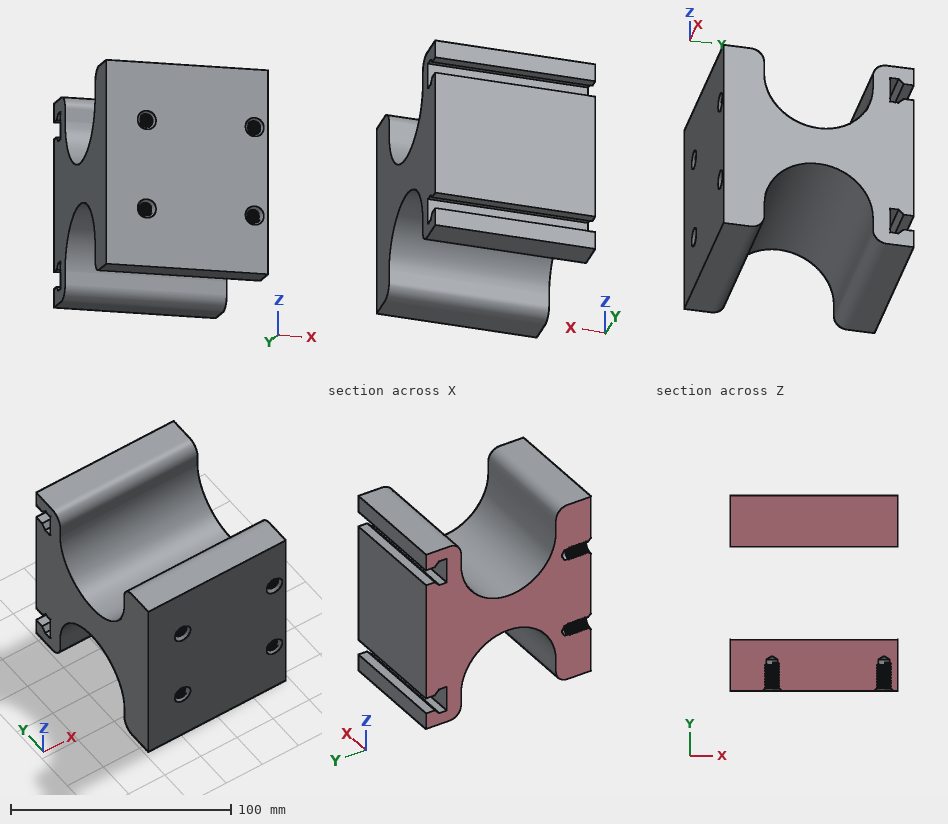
import cadquery as cq
import math

INCH = 25.4
length = 3.0 * INCH
width = 3.5 * INCH
height = 3.75 * INCH

channel_radius = 1.0 * INCH
channel_axis_depth = 0.5 * INCH
lip_radius = 0.25 * INCH

slot_inset = 0.5 * INCH
slot_mouth = 5 / 16 * INCH
slot_head = 0.5 * INCH
slot_depth = 7 / 16 * INCH
slot_neck_depth = 3 / 16 * INCH

thread_major = 6.35
thread_minor = 5.12
thread_pitch = INCH / 20
thread_root_flat = thread_pitch / 8
thread_half_angle = math.radians(30)
thread_overlap = 0.1
thread_start_depth = 0.5
thread_end_depth = 0.5 * INCH
bore_depth = 0.5625 * INCH
drill_tip_angle = math.radians(118)
countersink_diameter = 8.7
countersink_angle = math.radians(90)
hole_columns = (-length / 2 + 0.75 * INCH, length / 2 - 0.25 * INCH)
hole_row_spacing = 1.625 * INCH
upper_thread_turn = 45
lower_thread_turn = upper_thread_turn + 180
hole_rows = (
    (hole_row_spacing / 2, upper_thread_turn),
    (-hole_row_spacing / 2, lower_thread_turn),
)

TOP = 1
BOTTOM = -1


def channelled_block():
    """Block with a channel cut along X in its top and bottom faces."""
    block = cq.Workplane("XY").box(length, width, height)
    for side in (TOP, BOTTOM):
        face_z = side * height / 2
        axis_z = side * (height / 2 - channel_axis_depth)
        channel = (
            cq.Workplane("YZ")
            .moveTo(-channel_radius, face_z)
            .lineTo(-channel_radius, axis_z)
            .threePointArc((0, axis_z - side * channel_radius), (channel_radius, axis_z))
            .lineTo(channel_radius, face_z)
            .close()
            .extrude(length / 2, both=True)
        )
        block = block.cut(channel)
    return block


def round_channel_lips(body):
    """Round the four long edges where the channels meet the top and bottom faces."""
    selection_margin = 1.0
    inner_y = channel_radius + selection_margin
    outer_z = height / 2 + selection_margin
    lip_edges = cq.selectors.BoxSelector(
        (-length, -inner_y, -outer_z), (length, inner_y, outer_z)
    )
    return body.edges("|X").edges(">Z or <Z").edges(lip_edges).fillet(lip_radius)


def t_slot(center_z):
    """T-slot cutter along X, open at the back face, with 45 degree shoulders."""
    back_y = width / 2
    neck_y = back_y - slot_neck_depth
    head_y = neck_y - (slot_head - slot_mouth) / 2
    floor_y = back_y - slot_depth
    upper_half = [
        (back_y, slot_mouth / 2),
        (neck_y, slot_mouth / 2),
        (head_y, slot_head / 2),
        (floor_y, slot_head / 2),
    ]
    lower_half = [(y, -z) for y, z in reversed(upper_half)]
    return (
        cq.Workplane("YZ", origin=(0, 0, center_z))
        .polyline(upper_half + lower_half)
        .close()
        .extrude(length / 2, both=True)
    )


def hole_cutter():
    """Countersunk drilled hole, revolved about Z with its mouth at z = 0, going up."""
    bore_radius = thread_minor / 2
    sink_radius = countersink_diameter / 2
    sink_depth = (sink_radius - bore_radius) / math.tan(countersink_angle / 2)
    tip_depth = bore_depth + bore_radius / math.tan(drill_tip_angle / 2)
    return (
        cq.Workplane("XZ")
        .moveTo(0, 0)
        .lineTo(sink_radius, 0)
        .lineTo(bore_radius, sink_depth)
        .lineTo(bore_radius, bore_depth)
        .lineTo(0, tip_depth)
        .close()
        .revolve(360, (0, 0), (0, 1))
    )


def thread_cutter():
    """Helical groove of trapezoidal section about Z, for a hole with its mouth at z = 0."""
    root_radius = thread_major / 2
    inner_radius = thread_minor / 2 - thread_overlap
    root_half = thread_root_flat / 2
    inner_half = root_half + (root_radius - inner_radius) * math.tan(thread_half_angle)
    helix = cq.Wire.makeHelix(
        thread_pitch, thread_end_depth - thread_start_depth, thread_minor / 2,
        cq.Vector(0, 0, thread_start_depth),
    )
    return (
        cq.Workplane("XZ", origin=(0, 0, thread_start_depth))
        .moveTo(inner_radius, -inner_half)
        .lineTo(root_radius, -root_half)
        .lineTo(root_radius, root_half)
        .lineTo(inner_radius, inner_half)
        .close()
        .sweep(cq.Workplane(helix), isFrenet=True)
    )


def cut_tapped_holes(body):
    """Cut the four tapped holes into the front face."""
    drilled_hole = hole_cutter()
    thread = thread_cutter()
    for z, thread_turn in hole_rows:
        turned_thread = thread.rotate((0, 0, 0), (0, 0, 1), thread_turn)
        for cutter in (drilled_hole, turned_thread):
            tilted_cutter = cutter.rotate((0, 0, 0), (1, 0, 0), -90)
            for x in hole_columns:
                body = body.cut(tilted_cutter.translate((x, -width / 2, z)))
    return body


result = round_channel_lips(channelled_block())
for side in (TOP, BOTTOM):
    result = result.cut(t_slot(side * (height / 2 - slot_inset)))
result = cut_tapped_holes(result)